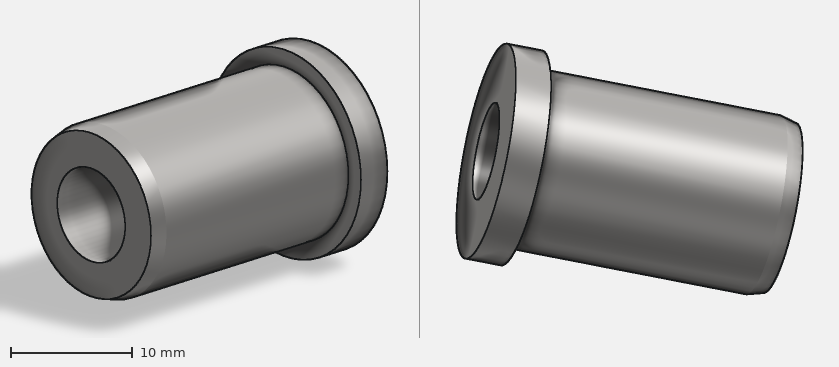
import cadquery as cq
import math

total_length = 25.0
head_diameter = 18.0
head_thickness = 3.0
body_diameter = 15.0
bore_diameter = 8.1
lead_in_length = 1.4
lead_in_angle = 15.0

head_radius = head_diameter / 2
body_radius = body_diameter / 2
bore_radius = bore_diameter / 2
tip_radius = body_radius - lead_in_length * math.tan(math.radians(lead_in_angle))
shoulder_y = total_length - head_thickness

half_section = [
    (bore_radius, 0),
    (tip_radius, 0),
    (body_radius, lead_in_length),
    (body_radius, shoulder_y),
    (head_radius, shoulder_y),
    (head_radius, total_length),
    (bore_radius, total_length),
]

result = (
    cq.Workplane("XY")
    .polyline(half_section)
    .close()
    .revolve(360, (0, 0, 0), (0, 1, 0))
)